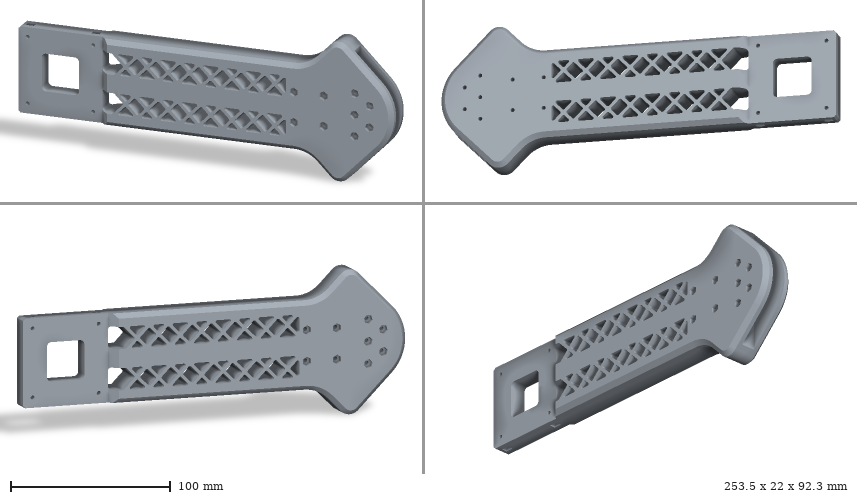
import cadquery as cq
import math

LENGTH = 253.51
WIDTH = 57.0
THICKNESS = 22.0
EDGE_CHAMFER = 3.0

PLATE_LENGTH = 56.5
PLATE_THICKNESS = 11.5
PLATE_CORNER_CHAMFER = 1.4
PLATE_CENTER_X = PLATE_LENGTH / 2
WINDOW_SIZE = 25.0
WINDOW_RADIUS = 3.0
PLATE_HOLE_PITCH = 44.0
NUT_SLOT_LENGTH = 5.5
NUT_SLOT_THICKNESS = 4.0
NUT_SLOT_DEPTH = 9.5

TIP_RADIUS = 30.0
TIP_CENTER_X = LENGTH - TIP_RADIUS
HEAD_WIDTH = 92.31
FLANK_ANGLE = 45
EAR_RADIUS = 8.0
NECK_RADIUS = 22.0
FORK_GAP = 10.0
FORK_START_X = 225.5

HOLE_DIAMETER = 2.6
NUT_ACROSS_FLATS = 5.2
NUT_POCKET_DEPTH = 3.0
ARM_HOLE_X = 197.0
ARM_HOLE_PITCH = 20.0
HEAD_HOLE_X = 227.8
OUTER_HOLE_Z = 14.15
FRONT_HOLE_OFFSET_X = 10.0
FRONT_HOLE_Z = 7.1

LATTICE_START_X = 56.5
LATTICE_END_X = 181.9
LATTICE_INNER_Z = 6.0
LATTICE_HEIGHT = 14.2
LATTICE_END_FILLET = 2.0
LATTICE_FILLET = 1.0
STRUT_WIDTH = 2.0
STRUT_ANGLE = 45
NODE_COUNT = 8
NODE_PITCH = 14.3
FIRST_NODE_X = 74.1
LOW_NODE_Z = 12.3
HIGH_NODE_Z = 13.9


def prism(sketch, thickness):
    """Extrude an XZ sketch symmetrically about Y = 0."""
    return sketch.extrude(thickness / 2, both=True)


def front_plane():
    """Workplane facing -Y, with X to the right and Z up."""
    return cq.Workplane("XZ")


def make_blank():
    """Arm and head outline with chamfered long edges."""
    diag = math.cos(math.radians(FLANK_ANGLE))
    half_width = WIDTH / 2
    tip_x = TIP_CENTER_X + TIP_RADIUS * diag
    tip_z = TIP_RADIUS * diag
    corner_z = HEAD_WIDTH / 2 + EAR_RADIUS * (math.sqrt(2) - 1)
    corner_x = tip_x + tip_z - corner_z
    ear_z = HEAD_WIDTH / 2 - EAR_RADIUS
    ear_dx = EAR_RADIUS * diag
    ear_tangent_z = ear_z + ear_dx
    half_turn = math.radians(FLANK_ANGLE / 2)
    neck_corner_x = corner_x - (corner_z - half_width)
    neck_start_x = neck_corner_x - NECK_RADIUS * math.tan(half_turn)
    neck_end_x = neck_start_x + NECK_RADIUS * diag
    neck_end_z = half_width + NECK_RADIUS * (1 - diag)
    neck_mid_x = neck_start_x + NECK_RADIUS * math.sin(half_turn)
    neck_mid_z = half_width + NECK_RADIUS * (1 - math.cos(half_turn))

    outline = (
        front_plane()
        .moveTo(0, half_width)
        .lineTo(neck_start_x, half_width)
        .threePointArc((neck_mid_x, neck_mid_z), (neck_end_x, neck_end_z))
        .lineTo(corner_x - ear_dx, ear_tangent_z)
        .threePointArc((corner_x, HEAD_WIDTH / 2), (corner_x + ear_dx, ear_tangent_z))
        .lineTo(tip_x, tip_z)
        .threePointArc((LENGTH, 0), (tip_x, -tip_z))
        .lineTo(corner_x + ear_dx, -ear_tangent_z)
        .threePointArc((corner_x, -HEAD_WIDTH / 2), (corner_x - ear_dx, -ear_tangent_z))
        .lineTo(neck_end_x, -neck_end_z)
        .threePointArc((neck_mid_x, -neck_mid_z), (neck_start_x, -half_width))
        .lineTo(0, -half_width)
        .close()
    )
    blank = prism(outline, THICKNESS)
    return blank.faces("<Y or >Y").edges().chamfer(EDGE_CHAMFER)


def thin_plate(body):
    """Step both faces down to the plate thickness, with a 45 degree ramp."""
    step = (THICKNESS - PLATE_THICKNESS) / 2
    for side in (1, -1):
        relief = (
            cq.Workplane("XY")
            .polyline([
                (0, side * PLATE_THICKNESS / 2),
                (PLATE_LENGTH, side * PLATE_THICKNESS / 2),
                (PLATE_LENGTH + step, side * THICKNESS / 2),
                (0, side * THICKNESS / 2),
            ])
            .close()
            .extrude(WIDTH, both=True)
        )
        body = body.cut(relief)
    return body.edges("|Y and <X").chamfer(PLATE_CORNER_CHAMFER)


def cut_plate_features(body):
    """Central window, four screw holes and their nut slots."""
    window = prism(
        front_plane().center(PLATE_CENTER_X, 0).rect(WINDOW_SIZE, WINDOW_SIZE), THICKNESS
    )
    body = body.cut(window.edges("|Y").fillet(WINDOW_RADIUS))
    holes = (
        front_plane()
        .center(PLATE_CENTER_X, 0)
        .rect(PLATE_HOLE_PITCH, PLATE_HOLE_PITCH, forConstruction=True)
        .vertices()
        .circle(HOLE_DIAMETER / 2)
    )
    body = body.cut(prism(holes, THICKNESS))
    slot_z = (WIDTH - NUT_SLOT_DEPTH) / 2
    for x in (PLATE_CENTER_X - PLATE_HOLE_PITCH / 2, PLATE_CENTER_X + PLATE_HOLE_PITCH / 2):
        for z in (-slot_z, slot_z):
            slot = cq.Workplane().box(NUT_SLOT_LENGTH, NUT_SLOT_THICKNESS, NUT_SLOT_DEPTH)
            body = body.cut(slot.translate((x, 0, z)))
    return body


def cut_fork(body):
    """Slot between the two cheeks of the head."""
    fork = cq.Workplane().box(LENGTH, FORK_GAP, HEAD_WIDTH, centered=(False, True, True))
    return body.cut(fork.translate((FORK_START_X, 0, 0)))


def cut_nut_holes(body, points, vertex_angle):
    """Through holes with hexagonal nut pockets on the -Y face, one hexagon corner at vertex_angle."""
    bores = prism(front_plane().pushPoints(points).circle(HOLE_DIAMETER / 2), THICKNESS)
    body = body.cut(bores)
    corner_diameter = NUT_ACROSS_FLATS / math.cos(math.pi / 6)
    for x, z in points:
        pocket = (
            cq.Workplane("XZ", origin=(x, -THICKNESS / 2, z))
            .transformed(rotate=(0, 0, vertex_angle))
            .polygon(6, corner_diameter)
            .extrude(-NUT_POCKET_DEPTH)
        )
        body = body.cut(pocket)
    return body


def cut_screw_holes(body):
    """Square group of four holes in the arm and a group of five in the head."""
    half_pitch = ARM_HOLE_PITCH / 2
    arm_points = [
        (ARM_HOLE_X + dx, dz)
        for dx in (-half_pitch, half_pitch)
        for dz in (-half_pitch, half_pitch)
    ]
    front_x = HEAD_HOLE_X + FRONT_HOLE_OFFSET_X
    upper_points = [(HEAD_HOLE_X, OUTER_HOLE_Z), (front_x, FRONT_HOLE_Z)]
    lower_points = [(x, -z) for x, z in upper_points]
    body = cut_nut_holes(body, arm_points, 90)
    body = cut_nut_holes(body, upper_points, FLANK_ANGLE)
    return cut_nut_holes(body, lower_points + [(HEAD_HOLE_X, 0)], -FLANK_ANGLE)


def make_lattice_openings():
    """Openings left between the crossed 45 degree struts of the upper window."""
    length = LATTICE_END_X - LATTICE_START_X
    openings = prism(
        front_plane()
        .center(LATTICE_START_X + length / 2, LATTICE_INNER_Z + LATTICE_HEIGHT / 2)
        .rect(length, LATTICE_HEIGHT),
        THICKNESS,
    )
    strut_length = 4 * LATTICE_HEIGHT
    for index in range(NODE_COUNT):
        x = FIRST_NODE_X + index * NODE_PITCH
        z = HIGH_NODE_Z if index % 2 else LOW_NODE_Z
        for angle in (STRUT_ANGLE, -STRUT_ANGLE):
            strut = cq.Workplane().box(strut_length, THICKNESS, STRUT_WIDTH)
            strut = strut.rotate((0, 0, 0), (0, 1, 0), angle).translate((x, 0, z))
            openings = openings.cut(strut)
    openings = openings.edges("|Y and <X").fillet(LATTICE_END_FILLET)
    inner_low = (FIRST_NODE_X - NODE_PITCH, -THICKNESS, 0)
    inner_high = (LENGTH, THICKNESS, WIDTH)
    inner_corners = cq.selectors.BoxSelector(inner_low, inner_high)
    return openings.edges("|Y").edges(inner_corners).fillet(LATTICE_FILLET)


def cut_lattices(body):
    """Cut both lattice windows through the arm."""
    openings = make_lattice_openings()
    return body.cut(openings).cut(openings.mirror("XY"))


result = make_blank()
result = thin_plate(result)
result = cut_plate_features(result)
result = cut_fork(result)
result = cut_screw_holes(result)
result = cut_lattices(result)